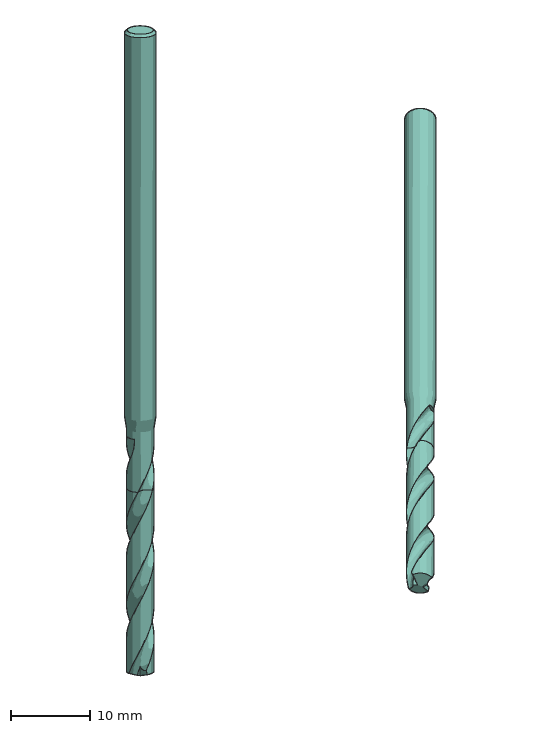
import cadquery as cq
import math

overall_length = 86.0
shank_diameter = 4.0
drill_diameter = 3.5

joint_height = 25.0
flute_end_height = 30.0
neck_end_height = 33.0
cone_end_height = 34.6
end_chamfer = 0.35
point_angle = 140.0

flute_count = 2
flute_pitch = 21.6
flute_half_angle = 35.5
flute_depth = 0.85
flute_side_height = 4.9
flute_start_height = -1.0
flute_clearance = 1.5
runout_height = 2.0
runout_rise = 0.3

gash_web_offset = 0.3
gash_slope = 0.4
gash_height = 1.6
gash_facing_height = 1.8
gash_reach = 2.5

shank_radius = shank_diameter / 2
drill_radius = drill_diameter / 2
flute_half_width = drill_radius * math.sin(math.radians(flute_half_angle))
flute_rim_drop = drill_radius * (1 - math.cos(math.radians(flute_half_angle)))
point_height = drill_radius / math.tan(math.radians(point_angle / 2))


def flute_angle(height):
    """Direction in degrees that the first flute faces at a height."""
    return 360 * (height - flute_side_height) / flute_pitch


def revolve_outline(points):
    """Solid of revolution about Z from points given as (radius, height)."""
    return cq.Workplane("XZ").polyline(points).close().revolve(360, (0, 0, 0), (0, 1, 0))


def groove_profile():
    """Cross-section of one groove facing +X: a concave floor, open beyond the drill surface."""
    edge = (drill_radius - flute_rim_drop, flute_half_width)
    rim = (flute_clearance * edge[0], flute_clearance * edge[1])
    return (
        cq.Workplane("XY")
        .moveTo(rim[0], -rim[1])
        .lineTo(edge[0], -edge[1])
        .threePointArc((drill_radius - flute_depth, 0), edge)
        .lineTo(*rim)
        .close()
    )


def place_groove(groove, height, turn):
    facing = flute_angle(height) + turn
    return groove.rotate((0, 0, 0), (0, 0, 1), facing).translate((0, 0, height))


def helical_flute(turn):
    length = flute_end_height - flute_start_height
    groove = groove_profile().twistExtrude(length, 360 * length / flute_pitch)
    return place_groove(groove, flute_start_height, turn)


def flute_runout(turn):
    """Straight continuation of a flute, leaving the neck along the tangent of the helix."""
    drift = 2 * math.pi * drill_radius / flute_pitch * runout_height
    profile = groove_profile().wire().val()
    groove = cq.Solid.extrudeLinear(profile, [], cq.Vector(runout_rise, drift, runout_height))
    return place_groove(cq.Workplane(groove), flute_end_height, turn)


def point_gash(turn):
    """Right-angled V groove whose ridge leans outward as it rises from the point."""
    mouth = gash_web_offset + gash_reach
    outline = [(gash_web_offset, 0), (mouth, -gash_reach), (mouth, gash_reach)]
    profile = cq.Wire.makePolygon([cq.Vector(x, y, 0) for x, y in outline], close=True)
    groove = cq.Solid.extrudeLinear(profile, [], cq.Vector(gash_slope * gash_height, 0, gash_height))
    return cq.Workplane(groove).rotate((0, 0, 0), (0, 0, 1), flute_angle(gash_facing_height) + turn)


tip = revolve_outline([
    (0, 0),
    (drill_radius, point_height),
    (drill_radius, joint_height),
    (0, joint_height),
])

shank = revolve_outline([
    (0, joint_height),
    (drill_radius, joint_height),
    (drill_radius, neck_end_height),
    (shank_radius, cone_end_height),
    (shank_radius, overall_length - end_chamfer),
    (shank_radius - end_chamfer, overall_length),
    (0, overall_length),
])

for i in range(flute_count):
    turn = 360 * i / flute_count
    tip = tip.cut(helical_flute(turn)).cut(point_gash(turn))
    shank = shank.cut(helical_flute(turn)).cut(flute_runout(turn))

result = cq.Compound.makeCompound([tip.val(), shank.val()])